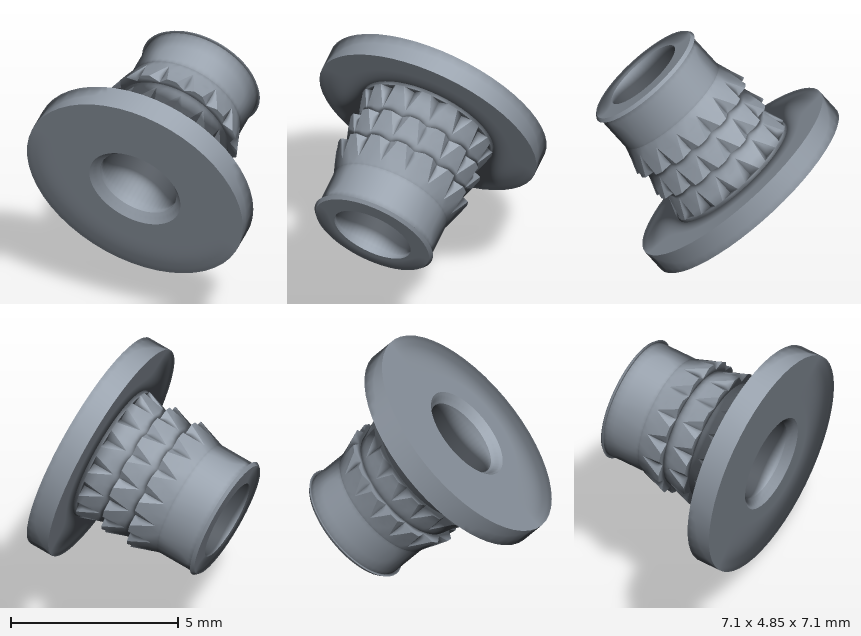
import cadquery as cq
import math

flange_radius = 3.55
flange_thickness = 0.75
total_length = 4.85

bore_radius = 1.25
countersink_radius = 1.5

barrel_radius = 1.85
lip_radius = 1.94
lip_length = 0.1

barb_count = 3
barb_rim_radius = 2.15
lead_length = 1.3
collar_length = 0.1
collar_start_radius = 2.115

notch_count = 15
notch_valley_radius = 1.925
notch_mouth_half_width = 0.3
cutter_clearance = 0.07

flange_back = flange_thickness
barbs_start = total_length - lead_length
barbs_end = flange_back + collar_length
barb_pitch = (barbs_start - barbs_end) / barb_count
lip_start = total_length - lip_length
countersink_depth = countersink_radius - bore_radius


def make_body():
    """Revolve the half profile, bore and countersink included, about the Y axis."""
    profile = [
        (countersink_radius, 0),
        (flange_radius, 0),
        (flange_radius, flange_back),
        (barb_rim_radius, flange_back),
        (collar_start_radius, barbs_end),
    ]
    for i in range(barb_count):
        rim_y = barbs_end + i * barb_pitch
        profile.append((barb_rim_radius, rim_y))
        profile.append((barrel_radius, rim_y + barb_pitch))
    profile += [
        (barrel_radius, lip_start),
        (lip_radius, lip_start),
        (barrel_radius, total_length),
        (bore_radius, total_length),
        (bore_radius, countersink_depth),
    ]
    return cq.Workplane("XY").polyline(profile).close().revolve(360, (0, 0, 0), (0, 1, 0))


def make_notch_cutter():
    """V-shaped prism along Y at the top (+Z) of the barbs, wide enough to clear the rims."""
    rim_height = math.sqrt(barb_rim_radius**2 - notch_mouth_half_width**2)
    side_slope = notch_mouth_half_width / (rim_height - notch_valley_radius)
    cutter_top = barb_rim_radius + cutter_clearance
    top_half_width = side_slope * (cutter_top - notch_valley_radius)
    triangle = [
        (0, notch_valley_radius),
        (top_half_width, cutter_top),
        (-top_half_width, cutter_top),
    ]
    return (
        cq.Workplane("XZ", origin=(0, barbs_end, 0))
        .polyline(triangle)
        .close()
        .extrude(-(barbs_start - barbs_end))
    )


def cut_notches(body):
    """Cut the rows of notches, with the first pair straddling the +Z direction."""
    step = 360 / notch_count
    cutter = make_notch_cutter()
    for i in range(notch_count):
        body = body.cut(cutter.rotate((0, 0, 0), (0, 1, 0), (i + 0.5) * step))
    return body


result = cut_notches(make_body())